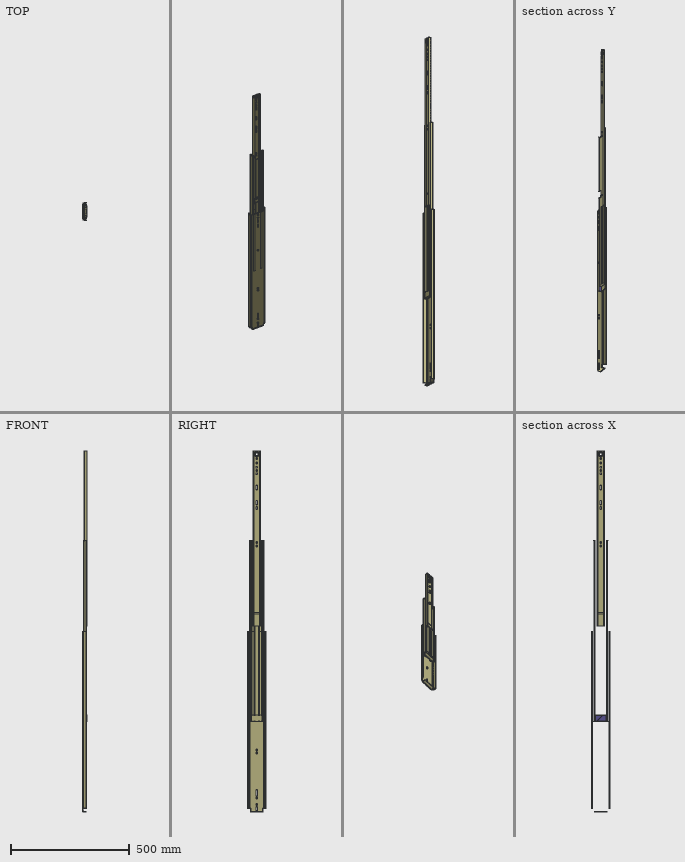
import cadquery as cq
import math


TOTAL_LENGTH = 1524.0
TOTAL_THICKNESS = 20.0
HOLE_DIAMETER = 6.0
SLOT_WIDTH = 5.0

OUTER_WIDTH = 76.0
OUTER_DEPTH = 17.0
OUTER_SHEET = 3.0
OUTER_BACK_HALF_WIDTH = 29.0
OUTER_SHOULDER_X = 3.0
OUTER_SHOULDER_Y = 35.0
OUTER_BOTTOM = 15.0
OUTER_TOP = 762.0
END_TAB_WIDTH = 52.0
END_TAB_DEPTH = 15.0
END_TAB_BEND_RADIUS = 5.0
OUTER_HOLES = [748.0, 730.0, 514.0, 262.0, 248.0, 60.0, 32.0]
OUTER_SLOTS = [(707.0, 14.0), (677.0, 18.0), (81.0, 27.0), (14.0, 18.0)]

MIDDLE_BOTTOM = 383.0
MIDDLE_TOP = 1146.0
MIDDLE_SHEET = 2.3
MIDDLE_HALF_WIDTH = 30.0
MIDDLE_FRONT_X = 17.0
RAIL_CLEARANCE = 0.8
RIDGE_X = OUTER_SHEET + RAIL_CLEARANCE
VALLEY_DROP = 3.0
VALLEY_HALF_WIDTH = 6.9
RIDGE_INNER_Y = 12.0
RIDGE_OUTER_Y = 20.0
SHOULDER_X = 6.0
SHOULDER_Y = 21.0
FLANGE_BEND_RADIUS = 3.0
LIP_Y = 25.0
NOTCH_WIDTH = 37.0
NOTCH_BOTTOM = 1132.0
NOTCH_THROAT_WIDTH = 18.0
NOTCH_THROAT_BOTTOM = 1111.0
NOTCH_THROAT_RADIUS = 8.0
WINDOW_WIDTH = 37.0
WINDOW_BOTTOM = 826.0
WINDOW_TOP = 858.0

INNER_BOTTOM = 785.0
INNER_WIDTH = 34.0
INNER_SHEET = 3.0
INNER_FLANGE = 6.0
INNER_FLANGE_ROUNDING = 3.0
INNER_OPENING_X = 8.0
INNER_WEB_X = TOTAL_THICKNESS - INNER_SHEET
INNER_HOLES = [1492.0, 1474.0, 1455.0, 1442.0, 1428.0, 1138.0, 1123.0]
INNER_SLOTS = [(1370.0, 18.0), (1306.0, 18.0), (1283.0, 10.0)]
PULL_HOLE_Z = 1510.0
PULL_HOLE_DIAMETER = 12.0
PULL_RECESS_DIAMETER = 20.0
PULL_RECESS_DEPTH = 2.0

STOP_BOTTOM = 837.0
STOP_HEIGHT = 5.0
STOP_THICKNESS = 2.3

BUMPER_WIDTH = 45.0
BUMPER_HEIGHT = 26.0


def box(x_start, x_end, width, z_start, z_end):
    """A block centred on y = 0."""
    return cq.Workplane("XY").box(
        x_end - x_start, width, z_end - z_start, centered=(False, True, False)
    ).translate((x_start, 0, z_start))


def symmetric_rail(half_outline, z_start, z_end):
    """Extrude half a section, drawn on the +Y side of y = 0, and mirror it."""
    half = half_outline.extrude(z_end - z_start).translate((0, 0, z_start))
    return half.union(half.mirror("XZ"))


def web_cutters(back_x, sheet, holes, slots):
    """Round holes and upright slots that pass through a rail's web."""
    web = cq.Workplane("YZ", origin=(back_x, 0, 0))
    cutters = web.pushPoints([(0, z) for z in holes]).circle(HOLE_DIAMETER / 2).extrude(sheet)
    for z, length in slots:
        cutters = cutters.union(web.center(0, z).slot2D(length, SLOT_WIDTH, 90).extrude(sheet))
    return cutters


def make_outer_rail():
    half_width = OUTER_WIDTH / 2
    flange_run = OUTER_DEPTH - OUTER_SHOULDER_X
    flange_rise = half_width - OUTER_SHOULDER_Y
    bow_radius = (flange_run**2 + flange_rise**2) / (2 * flange_rise)
    inside_radius = bow_radius - OUTER_SHEET
    inside_x = OUTER_SHOULDER_X + OUTER_SHEET / 2
    inside_y = half_width - bow_radius + math.sqrt(inside_radius**2 - (OUTER_DEPTH - inside_x) ** 2)
    outline = (
        cq.Workplane("XY")
        .lineTo(0, OUTER_BACK_HALF_WIDTH)
        .lineTo(OUTER_SHOULDER_X, OUTER_SHOULDER_Y)
        .radiusArc((OUTER_DEPTH, half_width), bow_radius)
        .lineTo(OUTER_DEPTH, half_width - OUTER_SHEET)
        .radiusArc((inside_x, inside_y), -inside_radius)
        .lineTo(OUTER_SHEET, OUTER_BACK_HALF_WIDTH)
        .lineTo(OUTER_SHEET, 0)
        .close()
    )
    rail = symmetric_rail(outline, OUTER_BOTTOM, OUTER_TOP)

    tab = box(0, END_TAB_DEPTH, END_TAB_WIDTH, 0, OUTER_BOTTOM)
    tab = tab.edges("|Y and <X and <Z").fillet(END_TAB_BEND_RADIUS)
    tab_inside = box(OUTER_SHEET, END_TAB_DEPTH, END_TAB_WIDTH, OUTER_SHEET, OUTER_BOTTOM)
    tab_inside = tab_inside.edges("|Y and <X and <Z").fillet(END_TAB_BEND_RADIUS - OUTER_SHEET)
    rail = rail.union(tab.cut(tab_inside))

    return rail.cut(web_cutters(0, OUTER_SHEET, OUTER_HOLES, OUTER_SLOTS))


def make_middle_rail():
    valley_x = RIDGE_X + VALLEY_DROP
    lip_start_x = MIDDLE_FRONT_X - FLANGE_BEND_RADIUS
    flange_inside_y = MIDDLE_HALF_WIDTH - MIDDLE_SHEET
    bend_y = MIDDLE_HALF_WIDTH - FLANGE_BEND_RADIUS
    flange_start_x = SHOULDER_X + FLANGE_BEND_RADIUS
    inside_radius = FLANGE_BEND_RADIUS - MIDDLE_SHEET
    back = [
        (valley_x, VALLEY_HALF_WIDTH),
        (RIDGE_X, RIDGE_INNER_Y),
        (RIDGE_X, RIDGE_OUTER_Y),
        (SHOULDER_X, SHOULDER_Y),
        (SHOULDER_X, bend_y),
    ]
    outline = cq.Workplane("XY").moveTo(valley_x, 0)
    for x, y in back:
        outline = outline.lineTo(x, y)
    outline = outline.radiusArc((flange_start_x, MIDDLE_HALF_WIDTH), FLANGE_BEND_RADIUS)
    outline = outline.lineTo(lip_start_x, MIDDLE_HALF_WIDTH)
    outline = outline.radiusArc((MIDDLE_FRONT_X, bend_y), FLANGE_BEND_RADIUS)
    outline = outline.lineTo(MIDDLE_FRONT_X, LIP_Y).lineTo(MIDDLE_FRONT_X - MIDDLE_SHEET, LIP_Y)
    outline = outline.lineTo(MIDDLE_FRONT_X - MIDDLE_SHEET, bend_y)
    outline = outline.radiusArc((lip_start_x, flange_inside_y), -inside_radius)
    outline = outline.lineTo(flange_start_x, flange_inside_y)
    outline = outline.radiusArc((SHOULDER_X + MIDDLE_SHEET, bend_y), -inside_radius)
    for x, y in reversed(back[:-1]):
        outline = outline.lineTo(x + MIDDLE_SHEET, y)
    outline = outline.lineTo(valley_x + MIDDLE_SHEET, 0).close()
    rail = symmetric_rail(outline, MIDDLE_BOTTOM, MIDDLE_TOP)

    notch = box(0, TOTAL_THICKNESS, NOTCH_WIDTH, NOTCH_BOTTOM, MIDDLE_TOP)
    throat = box(0, TOTAL_THICKNESS, NOTCH_THROAT_WIDTH, NOTCH_THROAT_BOTTOM, MIDDLE_TOP)
    throat = throat.edges("|X and <Z").fillet(NOTCH_THROAT_RADIUS)
    window = box(0, TOTAL_THICKNESS, WINDOW_WIDTH, WINDOW_BOTTOM, WINDOW_TOP)
    return rail.cut(notch).cut(throat).cut(window)


def make_inner_rail():
    rail = box(INNER_OPENING_X, TOTAL_THICKNESS, INNER_WIDTH, INNER_BOTTOM, TOTAL_LENGTH)
    rail = rail.edges("|Z and <X").fillet(INNER_FLANGE_ROUNDING)
    opening_width = INNER_WIDTH - 2 * INNER_FLANGE
    rail = rail.cut(box(INNER_OPENING_X, INNER_WEB_X, opening_width, INNER_BOTTOM, TOTAL_LENGTH))
    rail = rail.cut(web_cutters(INNER_WEB_X, INNER_SHEET, INNER_HOLES, INNER_SLOTS))
    pull_plane = cq.Workplane("YZ", origin=(INNER_WEB_X, 0, PULL_HOLE_Z))
    pull_hole = pull_plane.circle(PULL_HOLE_DIAMETER / 2).extrude(INNER_SHEET)
    pull_recess = pull_plane.circle(PULL_RECESS_DIAMETER / 2).extrude(PULL_RECESS_DEPTH)
    return rail.cut(pull_hole).cut(pull_recess)


def make_stop_bar():
    """A bar that rests on the web of the inner rail, between its flanges."""
    width = INNER_WIDTH - 2 * INNER_FLANGE
    return box(INNER_WEB_X - STOP_THICKNESS, INNER_WEB_X, width, STOP_BOTTOM, STOP_BOTTOM + STOP_HEIGHT)


def make_bumper():
    back_x = RIDGE_X + VALLEY_DROP + MIDDLE_SHEET
    return box(back_x, TOTAL_THICKNESS, BUMPER_WIDTH, MIDDLE_BOTTOM, MIDDLE_BOTTOM + BUMPER_HEIGHT)


outer_rail = make_outer_rail()
middle_rail = make_middle_rail()
inner_rail = make_inner_rail()
stop_bar = make_stop_bar()
bumper = make_bumper()

result = cq.Compound.makeCompound(
    [outer_rail.val(), middle_rail.val(), inner_rail.val(), stop_bar.val(), bumper.val()]
)